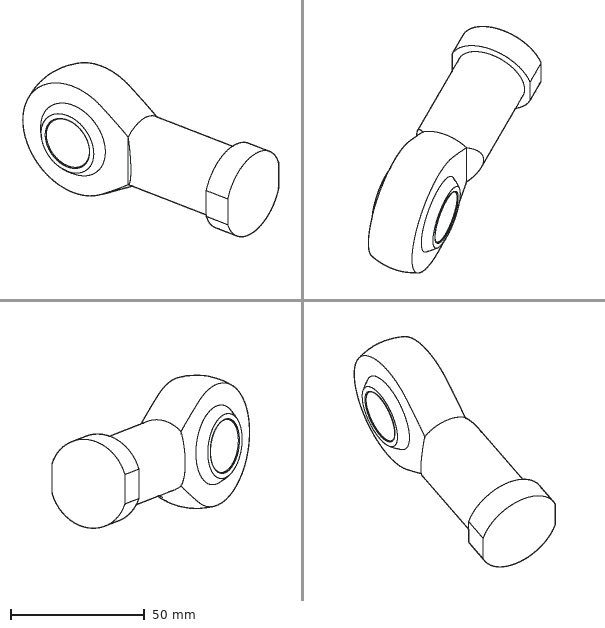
import cadquery as cq
import math

total_length = 102.0
eye_radius = 25.0
eye_thickness = 18.0
shank_radius = 13.8
neck_end_x = 25.6
ball_radius = 17.49
ball_width = 25.0
bore_diameter = 20.0
bore_chamfer = 0.3
collar_radius = 16.98
collar_length = 10.0
collar_across_flats = 32.0

end_x = total_length - eye_radius
collar_start_x = end_x - collar_length


def make_body():
    """Spherical head, tangent conical neck and shank, revolved about X."""
    neck_end_distance = math.hypot(neck_end_x, shank_radius)
    tangent_angle = math.atan2(shank_radius, neck_end_x) + math.acos(eye_radius / neck_end_distance)
    tangent_point = (eye_radius * math.cos(tangent_angle), eye_radius * math.sin(tangent_angle))
    profile = (
        cq.Workplane("XZ")
        .moveTo(-eye_radius, 0)
        .threePointArc((0, eye_radius), tangent_point)
        .lineTo(neck_end_x, shank_radius)
        .lineTo(collar_start_x, shank_radius)
        .lineTo(collar_start_x, 0)
        .close()
    )
    return profile.revolve(360, (0, 0, 0), (1, 0, 0))


def make_side_envelope():
    """Flat eye faces that widen at 45 degrees to the shank diameter."""
    half_eye = eye_thickness / 2
    shoulder_x = neck_end_x + shank_radius - half_eye
    return (
        cq.Workplane("XY")
        .moveTo(-eye_radius, 0)
        .lineTo(-eye_radius, half_eye)
        .lineTo(neck_end_x, half_eye)
        .lineTo(shoulder_x, shank_radius)
        .lineTo(collar_start_x, shank_radius)
        .lineTo(collar_start_x, 0)
        .mirrorX()
        .extrude(eye_radius, both=True)
    )


def make_collar():
    """Round end collar with two wrench flats facing -Y and +Y."""
    disc = cq.Workplane("YZ", origin=(collar_start_x, 0, 0)).circle(collar_radius).extrude(collar_length)
    flats = cq.Workplane("YZ", origin=(collar_start_x, 0, 0)).rect(
        collar_across_flats, 2 * collar_radius
    ).extrude(collar_length)
    return disc.intersect(flats)


def make_ball():
    """Bearing ball cut flat on both sides."""
    slab = cq.Workplane("XY").box(2 * ball_radius, ball_width, 2 * ball_radius)
    return cq.Workplane("XY").sphere(ball_radius).intersect(slab)


def make_bore():
    """Through bore along Y with a small chamfer at each mouth."""
    bore_radius = bore_diameter / 2
    mouth_radius = bore_radius + bore_chamfer
    half_width = ball_width / 2
    return (
        cq.Workplane("XY")
        .moveTo(0, -half_width)
        .lineTo(mouth_radius, -half_width)
        .lineTo(bore_radius, -half_width + bore_chamfer)
        .lineTo(bore_radius, half_width - bore_chamfer)
        .lineTo(mouth_radius, half_width)
        .lineTo(0, half_width)
        .close()
        .revolve(360, (0, 0, 0), (0, 1, 0))
    )


body = make_body().intersect(make_side_envelope())
result = body.union(make_collar()).union(make_ball()).cut(make_bore())